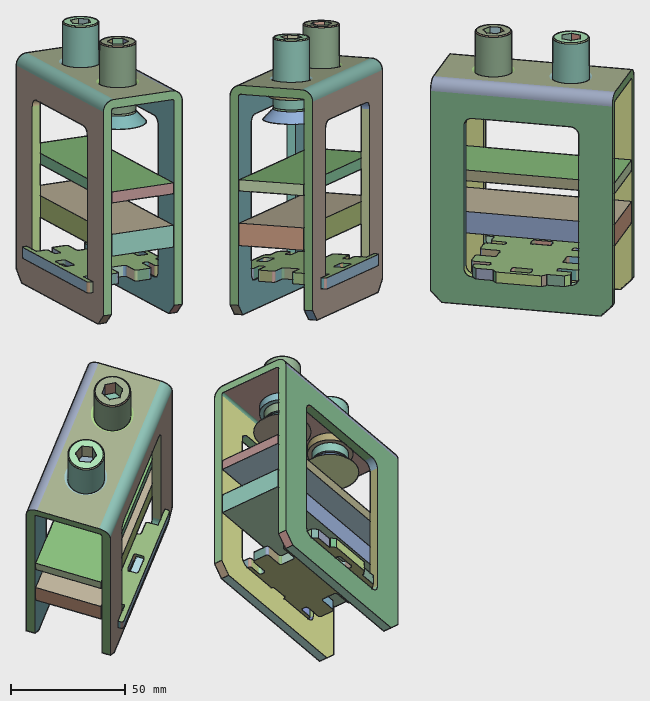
import cadquery as cq

FRAME_WIDTH = 82.0
FRAME_DEPTH = 39.0
FRAME_HEIGHT = 103.0
SHEET = 4.0
BEND_RADIUS = 5.1
FOOT_CHAMFER = 5.1
WINDOW_WIDTH = 51.8
WINDOW_TOP = 86.9
WINDOW_RADIUS = 3.8
TAB_HEIGHT = 3.2

COLLAR_DIAMETER = 19.9
COLLAR_BOTTOM = 95.1
BORE_LIP_RADIUS = 1.3

SCREW_SPACING = 35.0
SCREW_DIAMETER = 16.0
SCREW_TOP = 121.5
SCREW_BOTTOM = 90.5
SCREW_CHAMFER = 0.5
HEX_ACROSS_FLATS = 8.0
HEX_DEPTH = 8.0
SCREW_TURNS = (13.0, 33.0)
CONE_TOP = 89.7
CONE_BOTTOM = 84.9
CONE_BASE_DIAMETER = 25.0

BAR_LENGTH = FRAME_WIDTH
BAR_DEPTH = 30.3
UPPER_BAR_BOTTOM = 56.0
UPPER_BAR_THICKNESS = 5.0
LOWER_BAR_BOTTOM = 31.7
LOWER_BAR_THICKNESS = 10.0

PLATE_BOTTOM = 13.1
PLATE_THICKNESS = 5.0
FLANGE_LENGTH = 62.2
FLANGE_DEPTH = 2.4
PLATE_LENGTH = 46.0
WEB_WIDTH = 30.0
TOOTH_TIP_WIDTH = 48.6
TOOTH_DEPTH = 8.0
TOOTH_GAP = 8.0
END_GAP = 3.0
NECK_WIDTH = WINDOW_WIDTH - 2 * WINDOW_RADIUS
SHOULDER_CHAMFER = 2.2
TONGUE_WIDTH = 24.0
TONGUE_CHAMFER = 1.8
SLOT_LENGTH = 9.4
SLOT_DEPTH = 5.0
PLATE_RADIUS = 1.1

FLANGE_FRONT = -FRAME_DEPTH / 2 - FLANGE_DEPTH
PLATE_BACK = FLANGE_FRONT + PLATE_LENGTH
PLATE_MIDDLE = FLANGE_FRONT + PLATE_LENGTH / 2
NECK_START = TOOTH_GAP / 2 + TOOTH_DEPTH + END_GAP
SHOULDER = PLATE_LENGTH / 2 - FLANGE_DEPTH
SCREW_PLACES = (-SCREW_SPACING / 2, SCREW_SPACING / 2)


def block(width, y_front, y_back, z_bottom, height):
    """A box centred on x = 0."""
    return (
        cq.Workplane("XY")
        .box(width, y_back - y_front, height, centered=(True, False, False))
        .translate((0, y_front, z_bottom))
    )


def collar(x):
    return (
        cq.Workplane("XY", origin=(x, 0, COLLAR_BOTTOM))
        .circle(COLLAR_DIAMETER / 2)
        .extrude(FRAME_HEIGHT - SHEET - COLLAR_BOTTOM)
    )


def screw_bore(x):
    """Screw hole through roof and collar, with a rounded lip at the top."""
    bore_radius = SCREW_DIAMETER / 2
    lip_start = FRAME_HEIGHT - BORE_LIP_RADIUS
    return (
        cq.Workplane("XZ")
        .moveTo(0, COLLAR_BOTTOM)
        .lineTo(bore_radius, COLLAR_BOTTOM)
        .lineTo(bore_radius, lip_start)
        .tangentArcPoint((bore_radius + BORE_LIP_RADIUS, FRAME_HEIGHT), relative=False)
        .lineTo(0, FRAME_HEIGHT)
        .close()
        .revolve(360, (0, 0, 0), (0, 1, 0))
        .translate((x, 0, 0))
    )


def plate_strip(width, start, end):
    """Part of the locking plate between two distances from its middle."""
    return block(width, PLATE_MIDDLE + start, PLATE_MIDDLE + end, PLATE_BOTTOM, PLATE_THICKNESS)


def plate_slot(start):
    return plate_strip(SLOT_LENGTH, start, start + SLOT_DEPTH).edges("|Z").fillet(PLATE_RADIUS)


def locating_tab():
    """Tab on the sill of the front window that stands in the front slot of the locking plate."""
    leg_front = -FRAME_DEPTH / 2
    sill_zone = block(WINDOW_WIDTH, leg_front, leg_front + SHEET, PLATE_BOTTOM, TAB_HEIGHT)
    return plate_slot(-SHOULDER).intersect(sill_zone)


def make_frame():
    half_depth = FRAME_DEPTH / 2
    outer = block(FRAME_WIDTH, -half_depth, half_depth, 0, FRAME_HEIGHT)
    outer = outer.edges("|X and >Z").fillet(BEND_RADIUS)
    outer = outer.edges("|Y and <Z").chamfer(FOOT_CHAMFER)

    inner_half = half_depth - SHEET
    inner = block(FRAME_WIDTH, -inner_half, inner_half, 0, FRAME_HEIGHT - SHEET)
    inner = inner.edges("|X and >Z").fillet(BEND_RADIUS - SHEET)

    window = block(WINDOW_WIDTH, -half_depth, half_depth, PLATE_BOTTOM, WINDOW_TOP - PLATE_BOTTOM)
    window = window.edges("|Y").fillet(WINDOW_RADIUS)

    frame = outer.cut(inner).cut(window).union(locating_tab())
    for x in SCREW_PLACES:
        frame = frame.union(collar(x)).cut(screw_bore(x))
    return frame


def make_screw(x, turn):
    hex_socket = (
        cq.Workplane("XY", origin=(0, 0, SCREW_TOP - HEX_DEPTH))
        .polygon(6, HEX_ACROSS_FLATS, circumscribed=True)
        .extrude(HEX_DEPTH)
        .rotate((0, 0, 0), (0, 0, 1), turn)
    )
    return (
        cq.Workplane("XY", origin=(0, 0, SCREW_BOTTOM))
        .circle(SCREW_DIAMETER / 2)
        .extrude(SCREW_TOP - SCREW_BOTTOM)
        .faces(">Z")
        .chamfer(SCREW_CHAMFER)
        .cut(hex_socket)
        .translate((x, 0, 0))
    )


def make_pressure_cone(x):
    return (
        cq.Workplane("XZ")
        .moveTo(0, CONE_BOTTOM)
        .lineTo(CONE_BASE_DIAMETER / 2, CONE_BOTTOM)
        .lineTo(SCREW_DIAMETER / 2, CONE_TOP)
        .lineTo(0, CONE_TOP)
        .close()
        .revolve(360, (0, 0, 0), (0, 1, 0))
        .translate((x, 0, 0))
    )


def make_bar(z_bottom, thickness):
    return block(BAR_LENGTH, -BAR_DEPTH / 2, BAR_DEPTH / 2, z_bottom, thickness)


def make_locking_plate():
    half_gap = TOOTH_GAP / 2
    tooth_end = NECK_START - END_GAP

    plate = plate_strip(WEB_WIDTH, -SHOULDER, SHOULDER)
    for start, end in ((-tooth_end, -half_gap), (half_gap, tooth_end)):
        plate = plate.union(plate_strip(TOOTH_TIP_WIDTH, start, end))
    plate = plate.union(plate_strip(NECK_WIDTH, -SHOULDER, -NECK_START))
    shoulder = plate_strip(NECK_WIDTH, NECK_START, SHOULDER)
    plate = plate.union(shoulder.edges("|Z and >Y").chamfer(SHOULDER_CHAMFER))

    reach = NECK_START + PLATE_RADIUS
    toothed_zone = cq.selectors.BoxSelector(
        (-FRAME_WIDTH, PLATE_MIDDLE - reach, 0),
        (FRAME_WIDTH, PLATE_MIDDLE + reach, FRAME_HEIGHT),
    )
    plate = plate.edges("|Z").edges(toothed_zone).fillet(PLATE_RADIUS)

    flange = block(FLANGE_LENGTH, FLANGE_FRONT, FLANGE_FRONT + FLANGE_DEPTH, PLATE_BOTTOM, PLATE_THICKNESS)
    plate = plate.union(flange.edges("|Z and <Y").fillet(PLATE_RADIUS))
    tongue = block(TONGUE_WIDTH, PLATE_MIDDLE + SHOULDER, PLATE_BACK, PLATE_BOTTOM, PLATE_THICKNESS)
    plate = plate.union(tongue.edges("|Z and >Y").chamfer(TONGUE_CHAMFER))

    for start in (-SHOULDER, SHOULDER - SLOT_DEPTH):
        plate = plate.cut(plate_slot(start))
    return plate


frame = make_frame()
upper_bar = make_bar(UPPER_BAR_BOTTOM, UPPER_BAR_THICKNESS)
lower_bar = make_bar(LOWER_BAR_BOTTOM, LOWER_BAR_THICKNESS)
locking_plate = make_locking_plate()
screws = [make_screw(x, turn) for x, turn in zip(SCREW_PLACES, SCREW_TURNS)]
pressure_cones = [make_pressure_cone(x) for x in SCREW_PLACES]

result = cq.Compound.makeCompound(
    [
        frame.val(),
        upper_bar.val(),
        lower_bar.val(),
        locking_plate.val(),
        *[screw.val() for screw in screws],
        *[cone.val() for cone in pressure_cones],
    ]
)